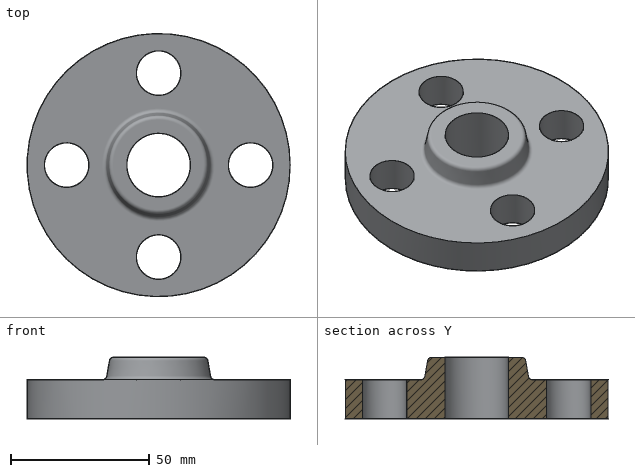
import cadquery as cq
import math

FLANGE_DIAMETER = 95.25
FLANGE_THICKNESS = 14.22
TOTAL_HEIGHT = 22.35

HUB_BASE_DIAMETER = 38.1
HUB_DRAFT_ANGLE = 10.0
HUB_BASE_FILLET = 1.55
HUB_TOP_FILLET = 1.5

BORE_DIAMETER = 22.9
BOLT_CIRCLE_DIAMETER = 66.55
BOLT_HOLE_DIAMETER = 16.0
BOLT_HOLE_COUNT = 4


def flange_plate():
    """Flat disc with its underside on the XY plane."""
    return cq.Workplane("XY").circle(FLANGE_DIAMETER / 2).extrude(FLANGE_THICKNESS)


def tapered_hub():
    """Cone frustum that stands on the top face of the plate."""
    hub_height = TOTAL_HEIGHT - FLANGE_THICKNESS
    base_radius = HUB_BASE_DIAMETER / 2
    top_radius = base_radius - hub_height * math.tan(math.radians(HUB_DRAFT_ANGLE))
    return (
        cq.Workplane("XY", origin=(0, 0, FLANGE_THICKNESS))
        .circle(base_radius)
        .workplane(offset=hub_height)
        .circle(top_radius)
        .loft()
    )


def round_hub_edges(body):
    """Round the rim of the hub and the corner where it meets the plate."""
    body = body.faces(">Z").edges().fillet(HUB_TOP_FILLET)
    plate_top = body.faces("|Z").faces(">Z[-2]")
    hub_foot = plate_top.edges(cq.selectors.RadiusNthSelector(0))
    return hub_foot.fillet(HUB_BASE_FILLET)


def cut_bore(body):
    """Cut the central bore through the whole part."""
    return body.cut(cq.Workplane("XY").circle(BORE_DIAMETER / 2).extrude(TOTAL_HEIGHT))


def cut_bolt_holes(body):
    """Cut evenly spaced bolt holes, the first one on the +X axis."""
    holes = (
        cq.Workplane("XY")
        .polarArray(BOLT_CIRCLE_DIAMETER / 2, 0, 360, BOLT_HOLE_COUNT)
        .circle(BOLT_HOLE_DIAMETER / 2)
        .extrude(FLANGE_THICKNESS)
    )
    return body.cut(holes)


flange = flange_plate().union(tapered_hub())
flange = round_hub_edges(flange)
flange = cut_bore(flange)
result = cut_bolt_holes(flange)